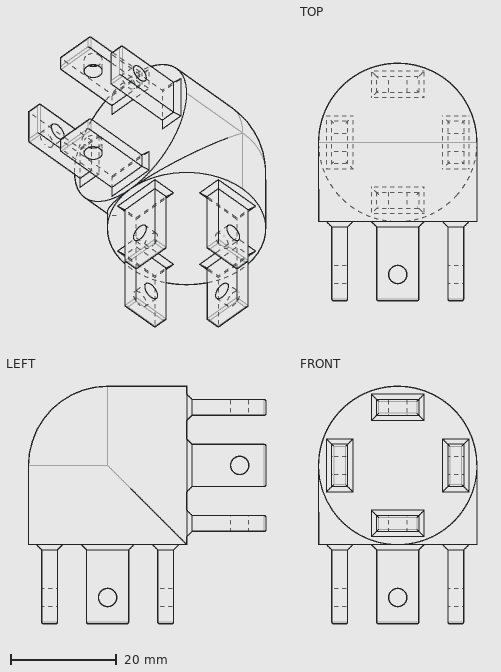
import cadquery as cq

overall_length = 45.0
body_radius = overall_length / 3
straight_length = body_radius
prong_length = body_radius

prong_width = 8.0
prong_thickness = 3.0
prong_offset = 11.0
tip_round = 0.4
flare = 1.0
hole_diameter = 3.4
hole_height = 10.0

prong_count = 4
overlap = 0.45


def make_prong():
    """One blade on +Z, standing on the end face, wide side tangent to the circle of prongs."""
    blade = (
        cq.Workplane("XY")
        .workplane(offset=-overlap)
        .rect(prong_thickness, prong_width)
        .extrude(prong_length + overlap)
        .faces(">Z")
        .fillet(tip_round)
    )
    root = (
        cq.Workplane("XY")
        .rect(prong_thickness + 2 * flare, prong_width + 2 * flare)
        .workplane(offset=flare)
        .rect(prong_thickness, prong_width)
        .loft(ruled=True)
    )
    hole = (
        cq.Workplane("YZ")
        .workplane(offset=-prong_thickness)
        .center(0, hole_height)
        .circle(hole_diameter / 2)
        .extrude(2 * prong_thickness)
    )
    return blade.union(root).cut(hole)


def make_prong_ring():
    """Prongs spaced evenly around the Z axis, beyond the end of a straight arm."""
    prong = make_prong().translate((prong_offset, 0, straight_length))
    ring = prong
    for index in range(1, prong_count):
        ring = ring.union(prong.rotate((0, 0, 0), (0, 0, 1), index * 360 / prong_count))
    return ring


def make_elbow():
    """Two equal cylinders, along -Z and -Y, joined by a spherical corner at the origin."""
    down_arm = cq.Workplane("XY").circle(body_radius).extrude(-straight_length)
    front_arm = cq.Workplane("XZ").circle(body_radius).extrude(straight_length)
    corner = cq.Workplane("XY").sphere(body_radius)
    return down_arm.union(front_arm).union(corner)


prong_ring = make_prong_ring()
down_prongs = prong_ring.rotate((0, 0, 0), (1, 0, 0), 180)
front_prongs = prong_ring.rotate((0, 0, 0), (1, 0, 0), 90)

result = make_elbow().union(down_prongs).union(front_prongs)